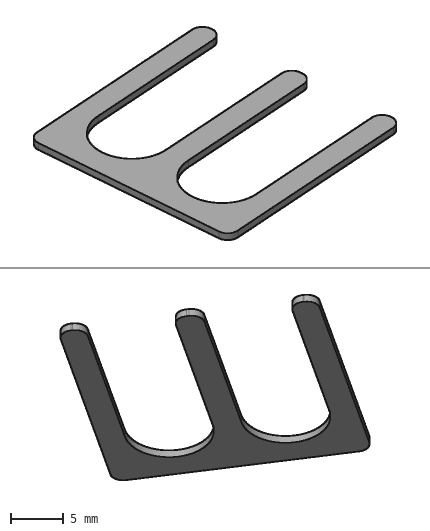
import cadquery as cq

side = 25.4
thickness = 0.81
corner_radius = 1.27

slot_width = 8.64
slot_spacing = 11.43
base_width = 2.8

slot_radius = slot_width / 2
top_edge = side / 2
slot_center_y = -side / 2 + base_width + slot_radius


def open_slot(center_x):
    """Cutter for one slot: a round bottom and a straight run out of the +Y edge."""
    return (
        cq.Workplane("XY")
        .moveTo(center_x - slot_radius, top_edge)
        .lineTo(center_x - slot_radius, slot_center_y)
        .threePointArc(
            (center_x, slot_center_y - slot_radius),
            (center_x + slot_radius, slot_center_y),
        )
        .lineTo(center_x + slot_radius, top_edge)
        .close()
        .extrude(thickness)
    )


plate = cq.Workplane("XY").box(side, side, thickness, centered=(True, True, False))
for center_x in (-slot_spacing / 2, slot_spacing / 2):
    plate = plate.cut(open_slot(center_x))

result = plate.edges("|Z and (>Y or <Y)").fillet(corner_radius)